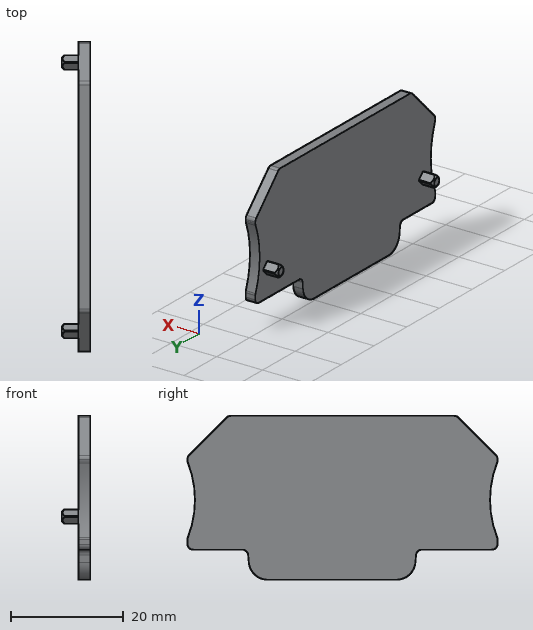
import cadquery as cq
import math

plate_width = 55.0
plate_thickness = 2.15
total_height = 29.1
shoulder_z = 5.35
top_chamfer = 7.25
corner_radius = 1.0

scallop_bottom_z = 7.35
scallop_top_z = 20.95
scallop_depth = 1.3

tab_root_left_y = -16.85
tab_root_right_y = 13.15
tab_draft_angle = 5.0
tab_corner_radius = 3.4

pin_length = 2.95
pin_diameter = 2.6
pin_square_side = 2.0
pin_tip_chamfer = 0.5
pin_y = 23.8
pin_z = 11.2

half_width = plate_width / 2
tab_taper = shoulder_z * math.tan(math.radians(tab_draft_angle))
scallop_middle_z = (scallop_bottom_z + scallop_top_z) / 2


def round_corners(body, corners, radius):
    """Fillet the plate's X-direction edges at the given (y, z) corners."""
    for y, z in corners:
        nearest_edge = cq.selectors.NearestToPointSelector((plate_thickness / 2, y, z))
        body = body.edges("|X").edges(nearest_edge).fillet(radius)
    return body


def make_plate():
    lower_corner = (half_width, shoulder_z)
    scallop_bottom = (half_width, scallop_bottom_z)
    scallop_middle = (half_width - scallop_depth, scallop_middle_z)
    scallop_top = (half_width, scallop_top_z)
    chamfer_bottom = (half_width, total_height - top_chamfer)
    chamfer_top = (half_width - top_chamfer, total_height)

    half_plate = (
        cq.Workplane("YZ")
        .moveTo(0, shoulder_z)
        .lineTo(*lower_corner)
        .lineTo(*scallop_bottom)
        .threePointArc(scallop_middle, scallop_top)
        .lineTo(*chamfer_bottom)
        .lineTo(*chamfer_top)
        .lineTo(0, total_height)
        .close()
        .extrude(plate_thickness)
    )

    tab_root = [(tab_root_left_y, shoulder_z), (tab_root_right_y, shoulder_z)]
    tab_bottom = [(tab_root_right_y - tab_taper, 0), (tab_root_left_y + tab_taper, 0)]
    tab = cq.Workplane("YZ").polyline(tab_root + tab_bottom).close().extrude(plate_thickness)

    plate = half_plate.union(half_plate.mirror("XZ")).union(tab).clean()

    right_corners = [lower_corner, scallop_bottom, scallop_top, chamfer_bottom, chamfer_top]
    left_corners = [(-y, z) for y, z in right_corners]
    plate = round_corners(plate, right_corners + left_corners + tab_root, corner_radius)
    return round_corners(plate, tab_bottom, tab_corner_radius)


def make_pin(y):
    """Pin standing out from the plate's -X face."""
    base = cq.Workplane("YZ").center(y, pin_z)
    round_pin = base.circle(pin_diameter / 2).extrude(-pin_length).faces("<X").chamfer(pin_tip_chamfer)
    square_bar = (
        base.transformed(rotate=(0, 0, 45))
        .rect(pin_square_side, pin_square_side)
        .extrude(-pin_length)
    )
    return round_pin.intersect(square_bar)


result = make_plate()
for pin_side in (-1, 1):
    result = result.union(make_pin(pin_side * pin_y))